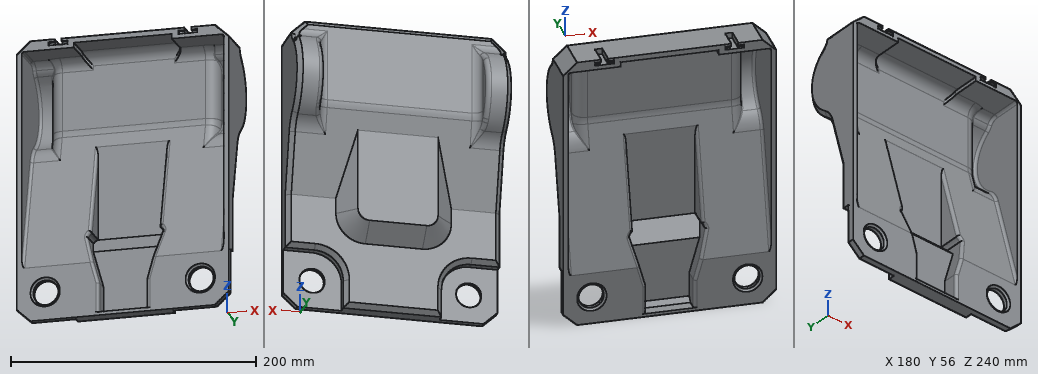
import cadquery as cq
import math

WIDTH = 180.0
HEIGHT = 240.0
HALF = WIDTH / 2
CORNER_X = 11.8
CORNER_Z = 10.8
BEYOND = 96.0
NEAR = 0.2
FLARE_ANGLE = -45

WALL = 3.0
RIM = 4.3
BACK_CHAMFER = 4.0
CAVITY_TOP_Z = 231.4
TOP_FILLET = 9.5
SIDE_FILLET = 2.5

PLATE_Y = 16.0
BACK_Y = 36.0
SLOPE_START_Z = 94.0
SLOPE_ANGLE = math.radians(15)
CREST_R = 22.0

WING_WIDTH = 21.8
WING_R = 42.5
WING_Y = 13.5
WING_Z = 190.8
UPPER_BLEND = 10.0
LOWER_BLEND = 22.0
WING_ROOT_R = 7.5
WING_EDGE_R = 4.0
WING_INNER_EDGE_R = 1.2

NOTCH_HALF = 41.5
NOTCH_TOP_Z = 235.5
NOTCH_TOP_FILLET = 10.0
NOTCH_SIDE_FILLET = 7.2

HOLE_X = HALF - 24.2
HOLE_Z = 24.0
HOLE_R = 10.5
HOLE_LIP_R = 2.0
FOOT_Y = 5.8
FOOT_STEP_R = 24.5

BUMP_Y = 31.0
BUMP_HALF = 33.5
BUMP_BOTTOM_Z = 71.3
BUMP_CORNER_R = 9.5
BUMP_ROOT_Y = 12.0
BUMP_TOP_Z = 158.5

CHANNEL_HALF = 29.0
CHANNEL_TOP_Z = 154.3
JOG_TOP_Z = 74.5
JOG_HALF = 32.0
JOG_Z = 70.0
JOG_RISE = 2.0
OUTLET_HALF = 20.2
OUTLET_Z = 28.0
OUTLET_BOTTOM_Z = 3.0
CHANNEL_FLOOR_WALL = 2.0
RAMP_TOP_Z = 74.2
OUTLET_RAMP = 4.0
CHANNEL_RIM_R = 2.6

TEE_X = 55.0
TEE_STEM_WIDTH = 6.0
TEE_STEM_DEPTH = 19.2
TEE_HEAD_WIDTH = 16.0
TEE_HEAD_DEPTH = 3.0
TEE_BOTTOM_Z = 235.0
TEE_HEAD_TOP_Z = 237.8


def box(x0, x1, y0, y1, z0, z1):
    return cq.Workplane("XY", origin=(x0, y0, z0)).box(x1 - x0, y1 - y0, z1 - z0, centered=False)


def yz_prism(points, half_width):
    """Outline in Y and Z, extruded to both sides of the middle plane."""
    return cq.Workplane("YZ").polyline(points).close().extrude(half_width, both=True)


def both_sides(solid):
    return solid.union(solid.mirror("YZ"))


def within(low, high):
    """Picks what has its centre between two corner points."""
    return cq.selectors.BoxSelector(low, high)


def slope_z(y, inset):
    """Height at which the slope, moved inward by inset, reaches depth y."""
    return SLOPE_START_Z + (y - PLATE_Y + inset / math.cos(SLOPE_ANGLE)) / math.tan(SLOPE_ANGLE)


def toward(center, target, distance):
    """Point at a distance from center in the direction of target."""
    dy = target[0] - center[0]
    dz = target[1] - center[1]
    ratio = distance / math.hypot(dy, dz)
    return center[0] + dy * ratio, center[1] + dz * ratio


def middle(a, b):
    return (a[0] + b[0]) / 2, (a[1] + b[1]) / 2


def wing_silhouette(inset, low_y):
    """Full-width side outline through the wings, moved inward by inset."""
    radius = WING_R - inset
    flat_y = BACK_Y - inset
    upper_r = UPPER_BLEND + inset
    lower_r = LOWER_BLEND + inset
    center = (WING_Y, WING_Z)

    upper_y = flat_y + upper_r
    upper = (upper_y, WING_Z + math.sqrt((radius + upper_r) ** 2 - (upper_y - WING_Y) ** 2))
    upper_flat = (flat_y, upper[1])
    upper_arc = toward(upper, center, upper_r)
    upper_mid = toward(upper, middle(upper_flat, upper_arc), upper_r)

    sin_a = math.sin(SLOPE_ANGLE)
    cos_a = math.cos(SLOPE_ANGLE)
    offset = lower_r - (slope_z(WING_Y, inset) - WING_Z) * sin_a
    along = math.sqrt((radius + lower_r) ** 2 - offset ** 2)
    lower = (WING_Y + offset * cos_a - along * sin_a, WING_Z - offset * sin_a - along * cos_a)
    lower_arc = toward(lower, center, lower_r)
    lower_slope = (lower[0] - lower_r * cos_a, lower[1] + lower_r * sin_a)
    lower_mid = toward(lower, middle(lower_arc, lower_slope), lower_r)

    outline = (
        cq.Workplane("YZ")
        .moveTo(0, HEIGHT)
        .lineTo(flat_y, HEIGHT)
        .lineTo(*upper_flat)
        .threePointArc(upper_mid, upper_arc)
        .threePointArc((WING_Y + radius, WING_Z), lower_arc)
        .threePointArc(lower_mid, lower_slope)
        .lineTo(low_y, slope_z(low_y, inset))
    )
    if low_y > 0:
        outline = outline.lineTo(low_y, 0).lineTo(0, 0)
    return outline.close().extrude(HALF, both=True)


def stepped_block(inset, low_y):
    """Middle outline with over-tall wings standing on it, rounded at their roots."""
    flat_y = BACK_Y - inset
    crest_z = slope_z(flat_y, inset)
    points = [(0, HEIGHT), (flat_y, HEIGHT), (flat_y, crest_z), (low_y, slope_z(low_y, inset))]
    if low_y > 0:
        points += [(low_y, 0), (0, 0)]
    crest = cq.selectors.NearestToPointSelector((0, flat_y, crest_z))
    crest_r = CREST_R + WALL - inset
    block = yz_prism(points, HALF).edges(crest).fillet(crest_r)

    inner = HALF - WING_WIDTH + inset
    wing = box(inner, HALF, 0, BEYOND, slope_z(low_y, inset) + WALL, HEIGHT)
    block = block.union(both_sides(wing))
    reach = WALL / 2
    for side in (-1, 1):
        low = (side * inner - reach, low_y + WALL, 0)
        high = (side * inner + reach, flat_y + reach, HEIGHT - WALL)
        block = block.edges(within(low, high)).fillet(WING_ROOT_R + inset)
    return block


def shell_form(inset, low_y):
    """Back surface moved inward by inset, closed by the front plane and reaching down to depth low_y."""
    return wing_silhouette(inset, low_y).intersect(stepped_block(inset, low_y))


def wing_arc_edges(x):
    """Picks the wing arc edges at distance x on both sides of the middle."""
    low_y = BACK_Y + WING_ROOT_R
    left = within((-x - NEAR, low_y, 0), (-x + NEAR, BEYOND, HEIGHT))
    right = within((x - NEAR, low_y, 0), (x + NEAR, BEYOND, HEIGHT))
    return left + right


def foot_steps():
    """Thins the foot around each screw hole, out to the side and bottom."""
    inner_x = HOLE_X - FOOT_STEP_R
    top_z = HOLE_Z + FOOT_STEP_R
    step = box(inner_x, BEYOND, FOOT_Y, BEYOND, -BEYOND, top_z)
    step = step.edges("<X and >Z").fillet(FOOT_STEP_R)
    return both_sides(step)


def corner_cuts(z, inward, flare_y):
    """Cuts both corners at height z, widening at 45 degrees behind depth flare_y."""
    outside_x = HALF + CORNER_X
    outside_z = z - inward * CORNER_Z
    points = [
        (HALF - 2 * CORNER_X, outside_z),
        (HALF - CORNER_X, z),
        (HALF, z + inward * CORNER_Z),
        (outside_x, z + inward * 2 * CORNER_Z),
        (outside_x, outside_z),
    ]
    straight = cq.Workplane("XZ").polyline(points).close().extrude(-BEYOND)
    flare = cq.Workplane("XZ", origin=(0, flare_y, 0)).polyline(points).close()
    flare = flare.extrude(-2 * BACK_CHAMFER, taper=FLARE_ANGLE)
    return both_sides(straight.union(flare))


def outer_body():
    """Outside of the shell with its chamfered back edges, rounded wings and cut corners."""
    body = shell_form(0, PLATE_Y).cut(foot_steps())
    behind = within((-BEYOND, PLATE_Y - NEAR, 0), (BEYOND, BEYOND, HEIGHT + NEAR))
    rim = cq.StringSyntaxSelector("(>X or <X or >Z) and (not |Y)") & behind
    step_top = HOLE_Z + FOOT_STEP_R + NEAR
    foot = within((-BEYOND, PLATE_Y - NEAR, -NEAR), (BEYOND, PLATE_Y + NEAR, step_top))
    body = body.edges(rim + foot).chamfer(BACK_CHAMFER)
    body = body.edges(wing_arc_edges(HALF - WING_WIDTH)).fillet(WING_EDGE_R)
    top_corners = corner_cuts(HEIGHT, -1, BACK_Y - BACK_CHAMFER)
    bottom_corners = corner_cuts(0, 1, PLATE_Y)
    return body.cut(top_corners).cut(bottom_corners)


def bump():
    """Raised block on the back that makes room for the channel."""
    straight_z = BUMP_BOTTOM_Z + BUMP_CORNER_R
    straight_x = BUMP_HALF - BUMP_CORNER_R
    return (
        cq.Workplane("XZ", origin=(0, BUMP_Y, 0))
        .moveTo(-BUMP_HALF, BUMP_TOP_Z)
        .lineTo(-BUMP_HALF, straight_z)
        .radiusArc((-straight_x, BUMP_BOTTOM_Z), -BUMP_CORNER_R)
        .lineTo(straight_x, BUMP_BOTTOM_Z)
        .radiusArc((BUMP_HALF, straight_z), -BUMP_CORNER_R)
        .lineTo(BUMP_HALF, BUMP_TOP_Z)
        .close()
        .extrude(BUMP_Y - BUMP_ROOT_Y, taper=FLARE_ANGLE)
    )


def cavity():
    """Hollow that follows the back at one wall thickness."""
    inner_x = HALF - RIM
    inner_wing_x = HALF - WING_WIDTH + WALL
    limits = box(-inner_x, inner_x, 0, BEYOND, 0, CAVITY_TOP_Z)
    hollow = shell_form(WALL, 0).intersect(limits)
    behind_top = within((-HALF, BACK_Y - 2 * WALL, 0), (HALF, BEYOND, HEIGHT))
    hollow = hollow.edges(cq.StringSyntaxSelector(">Z") & behind_top).fillet(TOP_FILLET)
    behind_front = within((-HALF, NEAR, 0), (HALF, BEYOND, HEIGHT))
    sides = cq.StringSyntaxSelector("(<X or >X) and (not |Y)") & behind_front
    hollow = hollow.edges(sides).fillet(SIDE_FILLET)
    return hollow.edges(wing_arc_edges(inner_wing_x)).fillet(WING_INNER_EDGE_R)


def notch():
    """Pocket whose top and side fillets meet in a mitre."""
    floor_y = BACK_Y - WALL
    low_z = slope_z(floor_y, WALL) + CREST_R
    pocket = box(-NOTCH_HALF, NOTCH_HALF, 0, floor_y, low_z, NOTCH_TOP_Z)
    top_rounded = pocket.faces(">Y").edges(">Z").fillet(NOTCH_TOP_FILLET)
    sides_rounded = pocket.faces(">Y").edges("|Z").fillet(NOTCH_SIDE_FILLET)
    return top_rounded.intersect(sides_rounded)


def channel():
    """Front channel with rounded rims and a stepped floor."""
    jog_bulge = (CHANNEL_HALF + JOG_RISE, JOG_TOP_Z - JOG_RISE)
    half_walls = (
        cq.Workplane("XZ", origin=(0, BEYOND, 0))
        .moveTo(0, HEIGHT)
        .lineTo(CHANNEL_HALF, HEIGHT)
        .lineTo(CHANNEL_HALF, JOG_TOP_Z)
        .threePointArc(jog_bulge, (JOG_HALF, JOG_Z))
        .lineTo(OUTLET_HALF, OUTLET_Z)
        .lineTo(OUTLET_HALF, -BEYOND)
        .lineTo(0, -BEYOND)
        .close()
        .extrude(2 * BEYOND)
    )
    walls = both_sides(half_walls)

    slope_foot = slope_z(0, WALL)
    space = [
        (-BEYOND, -BEYOND),
        (0, -BEYOND),
        (0, slope_foot),
        ((HEIGHT - slope_foot) * math.tan(SLOPE_ANGLE), HEIGHT),
        (-BEYOND, HEIGHT),
    ]
    tool = yz_prism(space, HALF).union(walls)
    rims = within((-JOG_HALF, -NEAR, -BEYOND / 2), (JOG_HALF, BACK_Y, HEIGHT))
    tool = tool.edges(rims).fillet(CHANNEL_RIM_R)

    floor_y = BUMP_Y - CHANNEL_FLOOR_WALL
    outlet_y = PLATE_Y - CHANNEL_FLOOR_WALL
    depth = [
        (0, OUTLET_BOTTOM_Z),
        (outlet_y - OUTLET_RAMP, OUTLET_BOTTOM_Z),
        (outlet_y, OUTLET_BOTTOM_Z + OUTLET_RAMP),
        (outlet_y, RAMP_TOP_Z - (floor_y - outlet_y)),
        (floor_y, RAMP_TOP_Z),
        (floor_y, CHANNEL_TOP_Z),
        (0, CHANNEL_TOP_Z),
    ]
    return tool.intersect(yz_prism(depth, JOG_HALF + 2 * CHANNEL_RIM_R))


def screw_hole():
    """Through hole with a rounded front lip."""
    hole = cq.Workplane("XZ", origin=(HOLE_X, BEYOND, HOLE_Z)).circle(HOLE_R).extrude(BEYOND)
    lip = (
        cq.Workplane("XY", origin=(HOLE_X, 0, HOLE_Z))
        .lineTo(HOLE_R + HOLE_LIP_R, 0)
        .radiusArc((HOLE_R, HOLE_LIP_R), -HOLE_LIP_R)
        .lineTo(0, HOLE_LIP_R)
        .close()
        .revolve(360, (0, 0, 0), (0, 1, 0))
    )
    return hole.union(lip)


def tee_slot():
    """Slot open at the top and front, with a wider covered head at the front."""
    half_stem = TEE_STEM_WIDTH / 2
    half_head = TEE_HEAD_WIDTH / 2
    stem = box(TEE_X - half_stem, TEE_X + half_stem, 0, TEE_STEM_DEPTH, TEE_BOTTOM_Z, HEIGHT)
    head = box(TEE_X - half_head, TEE_X + half_head, 0, TEE_HEAD_DEPTH, TEE_BOTTOM_Z, TEE_HEAD_TOP_Z)
    return stem.union(head)


result = (
    outer_body()
    .union(bump())
    .cut(cavity())
    .cut(notch())
    .cut(channel())
    .cut(both_sides(screw_hole()))
    .cut(both_sides(tee_slot()))
)